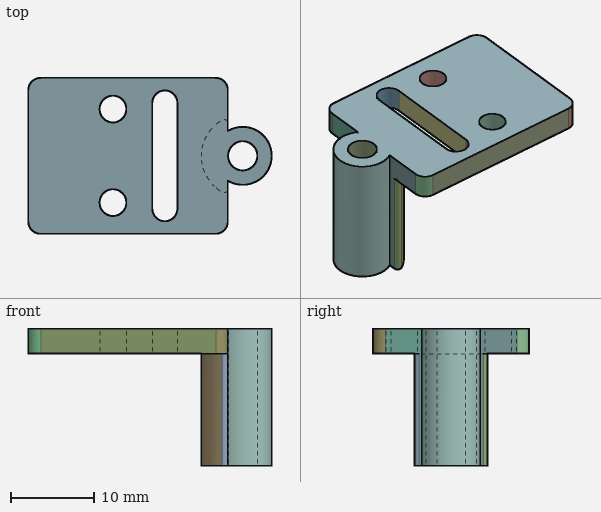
import cadquery as cq

plate_length = 24.03
plate_width = 18.8
plate_thickness = 3.0
corner_radius = 1.5

total_length = 29.3
total_height = 16.5
tube_diameter = 7.0
bore_diameter = 3.5
tube_x = total_length - tube_diameter / 2

sleeve_radius = 5.0
sleeve_end_radius = 0.5

screw_hole_diameter = 3.2
screw_hole_x = 10.2
screw_hole_spacing = 11.25
slot_x = 16.45
slot_width = 3.0
slot_length = 15.7


def make_plate():
    """Rounded plate, left edge at X = 0, underside at the top of the sleeve."""
    return (
        cq.Workplane("XY")
        .workplane(offset=total_height - plate_thickness)
        .center(plate_length / 2, 0)
        .rect(plate_length, plate_width)
        .extrude(plate_thickness)
        .edges("|Z")
        .fillet(corner_radius)
    )


def make_cylinder(radius, height):
    """Upright cylinder on the tube axis, starting at Z = 0."""
    return cq.Workplane("XY").center(tube_x, 0).circle(radius).extrude(height)


def make_sleeve():
    """Cylinder cut off flush with the plate's right edge, with the two upright end edges rounded."""
    sleeve_height = total_height - plate_thickness
    envelope = cq.Workplane("XY").box(
        plate_length, plate_width, sleeve_height, centered=(False, True, False)
    )
    trimmed = make_cylinder(sleeve_radius, sleeve_height).intersect(envelope)
    return trimmed.faces(">X").edges("|Z").fillet(sleeve_end_radius)


def make_plate_openings():
    """Cutters for the two screw holes and the long slot."""
    screw_holes = (
        cq.Workplane("XY")
        .center(screw_hole_x, 0)
        .rarray(0.3, screw_hole_spacing, 1, 2)
        .circle(screw_hole_diameter / 2)
        .extrude(total_height)
    )
    slot = (
        cq.Workplane("XY")
        .center(slot_x, 0)
        .slot2D(slot_length, slot_width, 90)
        .extrude(total_height)
    )
    return screw_holes.union(slot)


tube = make_cylinder(tube_diameter / 2, total_height)
bore = make_cylinder(bore_diameter / 2, total_height)
body = make_plate().union(make_sleeve()).union(tube)
result = body.cut(make_plate_openings()).cut(bore)